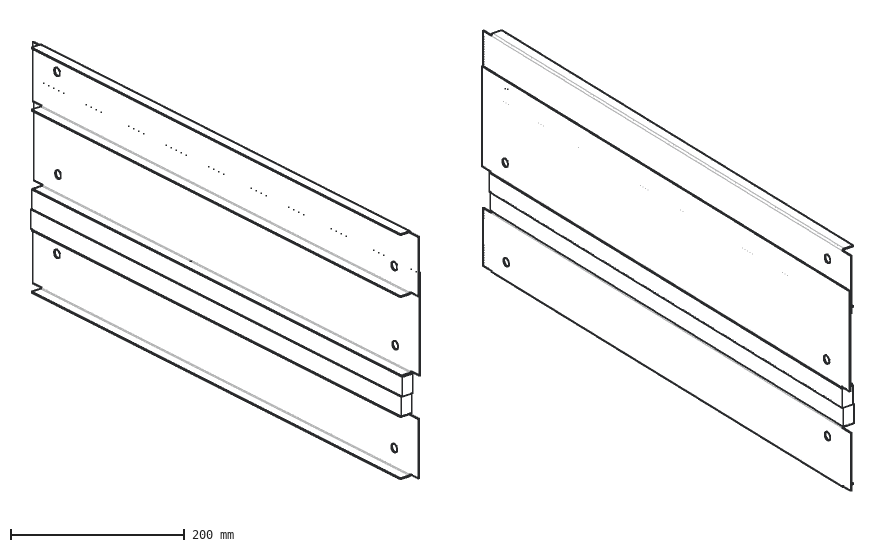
import cadquery as cq
import math

LENGTH = 707.0
HEIGHT = 310.0
DEPTH = 17.0

SHEET = 1.5
BEND_RADIUS = 1.0
BEND_SIZE = SHEET + BEND_RADIUS
FLANGE_LENGTH = 676.0
BODY_DEPTH = DEPTH - SHEET

PANEL_HEIGHT = 80.0
BAR_HEIGHT = 25.0
PLATE_LAP = 32.0
LOWER_BAR_Z = PANEL_HEIGHT
UPPER_BAR_Z = LOWER_BAR_Z + BAR_HEIGHT
PLATE_Z = UPPER_BAR_Z + BAR_HEIGHT
UPPER_PANEL_Z = HEIGHT - PANEL_HEIGHT
PLATE_HEIGHT = UPPER_PANEL_Z + PLATE_LAP - PLATE_Z

BAR_LENGTH = 679.5

BACK_Y = 0.0
FRONT_Y = -SHEET

HOLE_DIAMETER = 10.5
HOLE_X = 309.0
LEFT_HOLE_DROP = 25.0
RIGHT_HOLE_DROP = 54.5
PLATE_HOLE_RISE = 25.5


def block(length, rear_y, depth, bottom_z, top_z):
    """Box centred on X, reaching from rear_y towards -Y and from bottom_z up to top_z."""
    return (
        cq.Workplane("XY")
        .box(length, depth, top_z - bottom_z, centered=(True, False, False))
        .translate((0, rear_y - depth, bottom_z))
    )


def hole_cutters(points):
    """Cylinders along Y through the whole depth at the given (x, z) points."""
    return cq.Workplane("XZ").pushPoints(points).circle(HOLE_DIAMETER / 2).extrude(DEPTH)


def flange(rear_y, outer_z, inward):
    """Rounded bend and lip towards -Y along a web edge; inward is 1 if the web is above, -1 if below."""
    front_y = rear_y - BODY_DEPTH
    inner_z = outer_z + inward * SHEET
    web_z = outer_z + inward * BEND_SIZE
    bend_y = rear_y - BEND_SIZE
    diagonal = math.sqrt(0.5)
    outer_middle = (bend_y + BEND_SIZE * diagonal, web_z - inward * BEND_SIZE * diagonal)
    inner_middle = (bend_y + BEND_RADIUS * diagonal, web_z - inward * BEND_RADIUS * diagonal)
    return (
        cq.Workplane("YZ")
        .moveTo(front_y, outer_z)
        .lineTo(bend_y, outer_z)
        .threePointArc(outer_middle, (rear_y, web_z))
        .lineTo(rear_y - SHEET, web_z)
        .threePointArc(inner_middle, (bend_y, inner_z))
        .lineTo(front_y, inner_z)
        .close()
        .extrude(FLANGE_LENGTH / 2, both=True)
    )


def front_panel(bottom_z):
    """Sheet in the front layer, flanged along its top and its bottom edge."""
    top_z = bottom_z + PANEL_HEIGHT
    web = block(LENGTH, FRONT_Y, SHEET, bottom_z + BEND_SIZE, top_z - BEND_SIZE)
    holes = hole_cutters([(-HOLE_X, top_z - LEFT_HOLE_DROP), (HOLE_X, top_z - RIGHT_HOLE_DROP)])
    return web.union(flange(FRONT_Y, bottom_z, 1)).union(flange(FRONT_Y, top_z, -1)).cut(holes)


def flanged_plate():
    """Sheet in the rear layer, flanged along its bottom edge only."""
    web = block(LENGTH, BACK_Y, SHEET, PLATE_Z + BEND_SIZE, PLATE_Z + PLATE_HEIGHT)
    hole_z = PLATE_Z + PLATE_HOLE_RISE
    holes = hole_cutters([(-HOLE_X, hole_z), (HOLE_X, hole_z)])
    return web.union(flange(BACK_Y, PLATE_Z, 1)).cut(holes)


def filler_bar(rear_y, bottom_z):
    """Plain rectangular bar."""
    return block(BAR_LENGTH, rear_y, BODY_DEPTH, bottom_z, bottom_z + BAR_HEIGHT)


panels = [front_panel(bottom_z) for bottom_z in (0, UPPER_PANEL_Z)]
back_plate = flanged_plate()
bar_places = [(FRONT_Y, LOWER_BAR_Z), (BACK_Y, UPPER_BAR_Z)]
bars = [filler_bar(rear_y, bottom_z) for rear_y, bottom_z in bar_places]

result = cq.Compound.makeCompound([body.val() for body in (*panels, back_plate, *bars)])